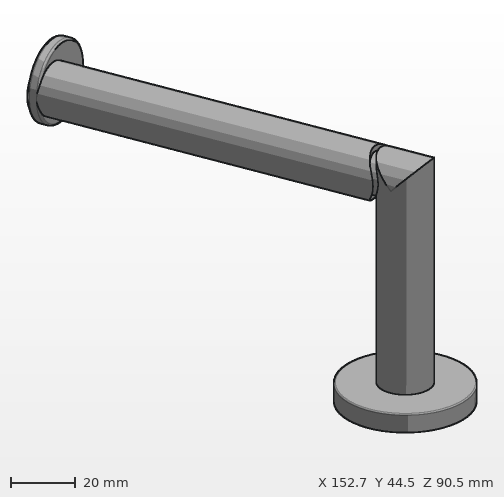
import cadquery as cq

overall_length = 152.7
overall_height = 90.5
base_diameter = 44.5
base_thickness = 6.5
base_edge_round = 0.5
bar_diameter = 18.0
joint_gap = 2.0
neck_diameter = 14.0
disc_diameter = 28.2
disc_thickness = 4.0
disc_edge_round = 0.8

bar_radius = bar_diameter / 2
disc_radius = disc_diameter / 2
arm_height = overall_height - disc_radius
arm_start = base_diameter / 2 - overall_length
disc_offset = disc_radius - bar_radius


def vertical_cylinder(diameter, height):
    return cq.Workplane("XY").circle(diameter / 2).extrude(height)


def horizontal_cylinder(diameter, start_x, length, center_y=0):
    return (
        cq.Workplane("YZ", origin=(start_x, center_y, arm_height))
        .circle(diameter / 2)
        .extrude(length)
    )


def make_base():
    plate = vertical_cylinder(base_diameter, base_thickness)
    return plate.faces(">Z").edges().fillet(base_edge_round)


def make_post():
    """Round post whose top is trimmed to the cylindrical outline of the arm."""
    lower = vertical_cylinder(bar_diameter, arm_height)
    full = vertical_cylinder(bar_diameter, arm_height + bar_radius)
    rounded_top = full.intersect(horizontal_cylinder(bar_diameter, -bar_diameter, 2 * bar_diameter))
    return lower.union(rounded_top)


def make_arm():
    """Arm with a concave end that follows the post at a constant gap."""
    arm = horizontal_cylinder(bar_diameter, arm_start, -arm_start)
    clearance = vertical_cylinder(bar_diameter + 2 * joint_gap, overall_height)
    return arm.cut(clearance)


def make_neck():
    return horizontal_cylinder(neck_diameter, -bar_diameter, bar_diameter)


def make_end_disc():
    disc = horizontal_cylinder(disc_diameter, arm_start, disc_thickness, disc_offset)
    return disc.edges().fillet(disc_edge_round)


result = make_base().union(make_post()).union(make_arm()).union(make_neck()).union(make_end_disc())